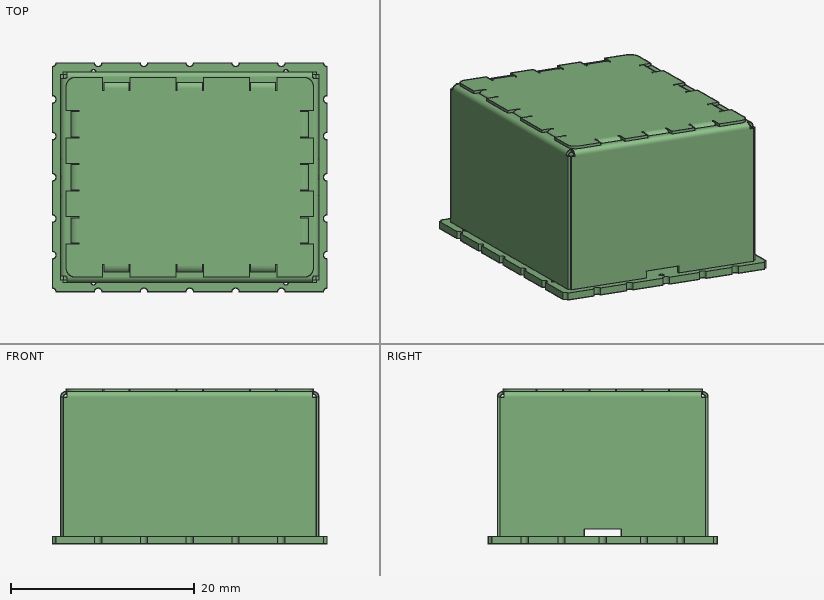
import cadquery as cq
import math

BASE_X = 30.0
BASE_Y = 25.0
BASE_T = 0.8
NOTCH_D = 0.8
NOTCH_XS = (-10.0, -5.0, 0.0, 5.0, 10.0)
NOTCH_YS = (-8.5, -4.5, 0.0, 4.5, 8.5)
HOLE_D = 0.5
HOLE_X = 10.5
HOLE_Y = 11.5
END_HOLE_X = 13.85

TOTAL_Z = 16.91
SHEET = 0.3
BEND_R = 0.6
ROOF_X = 27.0
ROOF_Y = 21.8
WALL_OVERLAP = 0.02
BEND_RELIEF = 0.1
WINDOW_Y = 4.0
WINDOW_Z = 0.8

LID_T = 0.3
LID_CORNER_R = 1.0
TAB_XS = (-8.0, 0.0, 8.0)
TAB_YS = (-5.8, 0.0, 5.8)
TAB_W = 3.0
TAB_LEDGE = 0.55
TAB_R = 0.9
SLIT_W = 0.12
SLIT_END = 1.4

ROOF_TOP = TOTAL_Z - LID_T
ROOF_BOTTOM = ROOF_TOP - SHEET
FOLD_Z = ROOF_TOP - BEND_R
FOLD_INNER_R = BEND_R - SHEET
TAB_RUN = math.sqrt(TAB_R**2 - (TAB_R - LID_T) ** 2)


def block(x_min, x_max, y_min, y_max, z_min, z_max):
    size = (x_max - x_min, y_max - y_min, z_max - z_min)
    return cq.Workplane("XY").box(*size, centered=False).translate((x_min, y_min, z_min))


def cylinders(points, diameter):
    return cq.Workplane("XY").pushPoints(points).circle(diameter / 2).extrude(BASE_T)


def make_base():
    half_x = BASE_X / 2
    half_y = BASE_Y / 2
    notches = [(x, side * half_y) for side in (-1, 1) for x in (-half_x, *NOTCH_XS, half_x)]
    notches += [(side * half_x, y) for side in (-1, 1) for y in NOTCH_YS]
    holes = [(sx * HOLE_X, sy * HOLE_Y) for sx in (-1, 1) for sy in (-1, 1)]
    holes += [(-END_HOLE_X, 0), (END_HOLE_X, 0)]
    plate = block(-half_x, half_x, -half_y, half_y, 0, BASE_T)
    return plate.cut(cylinders(notches, NOTCH_D)).cut(cylinders(holes, HOLE_D))


def make_wall(roof_edge, half_width, half_fold):
    """Wall on the +X side with its fold, for a roof edge at X = roof_edge."""
    slant = math.sqrt(0.5)
    wall = block(roof_edge + FOLD_INNER_R, roof_edge + BEND_R, -half_width, half_width, BASE_T, FOLD_Z)
    fold = (
        cq.Workplane("XZ", origin=(roof_edge, 0, FOLD_Z))
        .moveTo(0, BEND_R)
        .threePointArc((BEND_R * slant, BEND_R * slant), (BEND_R, 0))
        .lineTo(FOLD_INNER_R, 0)
        .threePointArc((FOLD_INNER_R * slant, FOLD_INNER_R * slant), (0, FOLD_INNER_R))
        .close()
        .extrude(half_fold, both=True)
    )
    return wall.union(fold)


def make_cover():
    half_x = ROOF_X / 2
    half_y = ROOF_Y / 2
    cover = block(-half_x, half_x, -half_y, half_y, ROOF_BOTTOM, ROOF_TOP)
    end_wall = make_wall(half_x, half_y + FOLD_INNER_R + WALL_OVERLAP, half_y - BEND_RELIEF)
    long_wall = make_wall(half_y, half_x + FOLD_INNER_R + WALL_OVERLAP, half_x - BEND_RELIEF)
    for turn in (0, 180):
        cover = cover.union(end_wall.rotate((0, 0, 0), (0, 0, 1), turn))
        cover = cover.union(long_wall.rotate((0, 0, 0), (0, 0, 1), turn + 90))
    window = block(-BASE_X / 2, BASE_X / 2, -WINDOW_Y / 2, WINDOW_Y / 2, BASE_T, BASE_T + WINDOW_Z)
    return cover.cut(window)


def make_tab_cutter(lid_edge):
    """Material removed around one tab on the +X edge of the lid, centred on Y = 0."""
    half_tab = TAB_W / 2
    foot = lid_edge - TAB_LEDGE
    crest = foot - TAB_RUN
    half_run = TAB_RUN / 2
    arc_mid = (crest + half_run, TOTAL_Z - TAB_R + math.sqrt(TAB_R**2 - half_run**2))
    recess = (
        cq.Workplane("XZ")
        .moveTo(crest, TOTAL_Z)
        .threePointArc(arc_mid, (foot, ROOF_TOP))
        .lineTo(lid_edge, ROOF_TOP)
        .lineTo(lid_edge, TOTAL_Z)
        .close()
        .extrude(half_tab, both=True)
    )
    inner = half_tab - SLIT_W
    slit = block(lid_edge - SLIT_END, lid_edge, inner, half_tab, ROOF_TOP, TOTAL_Z)
    return recess.union(slit).union(slit.mirror("XZ"))


def make_lid():
    lid = (
        cq.Workplane("XY", origin=(0, 0, ROOF_TOP))
        .rect(ROOF_X, ROOF_Y)
        .extrude(LID_T)
        .edges("|Z")
        .fillet(LID_CORNER_R)
    )
    end_tab = make_tab_cutter(ROOF_X / 2)
    long_tab = make_tab_cutter(ROOF_Y / 2)
    for turn in (0, 180):
        for y in TAB_YS:
            lid = lid.cut(end_tab.translate((0, y, 0)).rotate((0, 0, 0), (0, 0, 1), turn))
        for x in TAB_XS:
            lid = lid.cut(long_tab.translate((0, x, 0)).rotate((0, 0, 0), (0, 0, 1), turn + 90))
    return lid


result = make_base().union(make_cover()).union(make_lid())